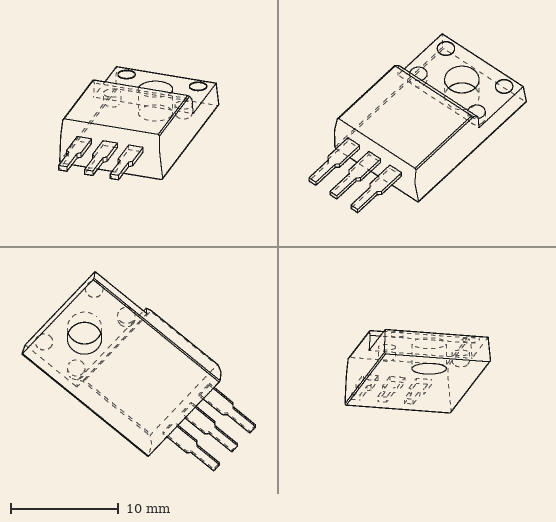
import cadquery as cq
import math

total_length = 21.87
body_height = 4.7
body_length = 15.88

tab_height = 2.5
tab_length = 6.7
step_chamfer = 0.72
end_draft = 0.28

base_width = 10.17
top_width = 9.51
edge_chamfer = 0.13

lead_count = 3
lead_pitch = 2.54
lead_bottom = 2.75
lead_thickness = 0.48
lead_wide = 1.42
lead_narrow = 0.83
lead_narrow_length = 2.8
lead_neck_length = 0.28
lead_embed = 0.44

hole_diameter = 3.2
hole_y = -3.3
mark_diameter = 1.62
mark_x = 3.52
shallow_mark_y = -1.4
shallow_mark_depth = 0.07
dimple_y = -5.38
dimple_wall_depth = 0.75
dimple_floor_diameter = 0.61


def make_body():
    """Stepped side profile trimmed to the tapered, chamfered cross-section."""
    lead_top = lead_bottom + lead_thickness
    side = (
        cq.Workplane("YZ")
        .polyline([
            (0, 0),
            (-end_draft, tab_height),
            (-tab_length, tab_height),
            (-tab_length, body_height - step_chamfer),
            (-tab_length - step_chamfer, body_height),
            (-body_length + end_draft, body_height),
            (-body_length, lead_top),
            (-body_length, lead_bottom),
            (-body_length + end_draft, 0),
        ])
        .close()
        .extrude(base_width / 2, both=True)
    )
    section = (
        cq.Workplane("XZ")
        .polyline([
            (-base_width / 2, 0),
            (base_width / 2, 0),
            (top_width / 2, body_height),
            (-top_width / 2, body_height),
        ])
        .close()
        .extrude(body_length)
        .edges("|Y")
        .chamfer(edge_chamfer)
    )
    return side.intersect(section)


def make_lead(x_center):
    """Flat lead that necks down from its wide root to a narrow tip."""
    tip_y = -total_length
    neck_y = tip_y + lead_narrow_length
    shoulder_y = neck_y + lead_neck_length
    root_y = -body_length + lead_embed
    right_edge = [
        (lead_narrow / 2, tip_y),
        (lead_narrow / 2, neck_y),
        (lead_wide / 2, shoulder_y),
        (lead_wide / 2, root_y),
    ]
    left_edge = [(-x, y) for x, y in reversed(right_edge)]
    return (
        cq.Workplane("XY", origin=(x_center, 0, lead_bottom))
        .polyline(right_edge + left_edge)
        .close()
        .extrude(lead_thickness)
    )


def make_dimple(x_center):
    """Round pocket whose straight wall curves into a small flat floor."""
    curve_radius = (mark_diameter - dimple_floor_diameter) / 2
    depth = dimple_wall_depth + curve_radius
    floor_radius = dimple_floor_diameter / 2
    rim_radius = mark_diameter / 2
    arc_offset = curve_radius * math.sin(math.pi / 4)
    return (
        cq.Workplane("XZ", origin=(x_center, dimple_y, tab_height))
        .moveTo(0, 0)
        .lineTo(0, -depth)
        .lineTo(floor_radius, -depth)
        .threePointArc(
            (floor_radius + arc_offset, -dimple_wall_depth - arc_offset),
            (rim_radius, -dimple_wall_depth),
        )
        .lineTo(rim_radius, 0)
        .close()
        .revolve(360, (0, 0, 0), (0, 1, 0))
    )


def make_shallow_mark(x_center):
    """Shallow flat round recess in the tab surface."""
    return (
        cq.Workplane("XY", origin=(x_center, shallow_mark_y, tab_height))
        .circle(mark_diameter / 2)
        .extrude(-shallow_mark_depth)
    )


result = make_body()

for index in range(lead_count):
    lead_x = (index - (lead_count - 1) / 2) * lead_pitch
    result = result.union(make_lead(lead_x))

mounting_hole = cq.Workplane("XY").center(0, hole_y).circle(hole_diameter / 2).extrude(tab_height)
result = result.cut(mounting_hole)

for side_x in (-mark_x, mark_x):
    result = result.cut(make_dimple(side_x))
    result = result.cut(make_shallow_mark(side_x))